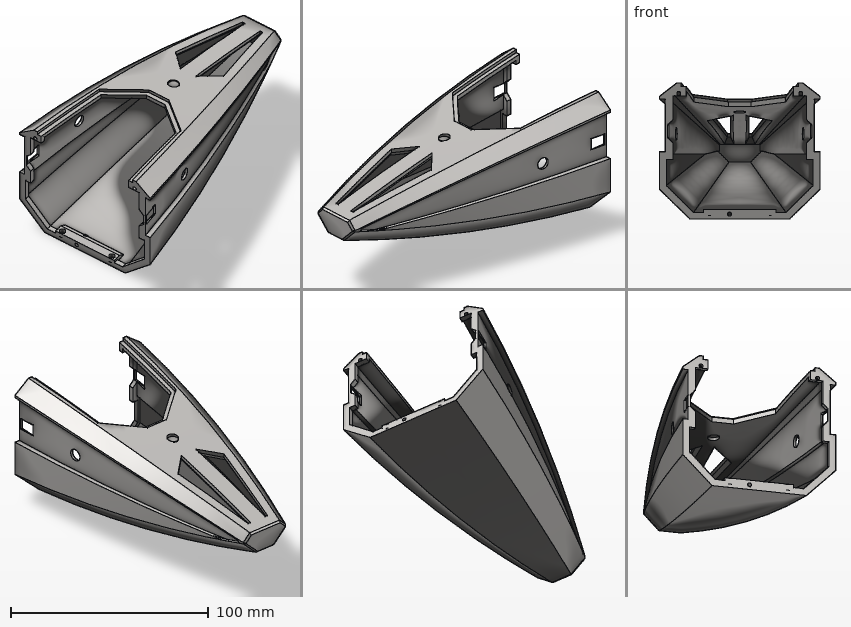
import cadquery as cq


length = 152.0
shoulder_y = 149.5
bow = 0.49

front_side, tip_side = 40.6, 14.1
front_height, tip_top = 69.0, 42.3
tip_bottom = 28.1
front_bottom_half, tip_bottom_half = 25.1, 5.8
front_corner_z, tip_corner_z = 15.0, 36.5
front_eave_z, tip_eave_z = 62.2, 37.8
front_top_half, tip_top_half = 31.8, 9.9

tip_bevels = ((1.4, 0.5), (length - shoulder_y, 1.4))

recess_depth, tip_recess_depth = 2.9, 1.8
eave_lip = 1.4
tip_eave_lip = 0.6
ledge_z = 34.2
recess_end = 147.7

rim_depth = 2.7
cavity_end = 148.2
step_z, tip_step_z = 33.0, 34.8
step_bend_y = 120.1
rim_step_z = 30.1
rim_top_z = 62.3
rim_wall_half = 33.7
roof_thickness = 4.1

rebate_depth = 1.8
rebate_outline = ((6.2, 64.1), (25.4, 47.9), (29.6, 0))
opening_outline = ((5.8, 61.4), (23.3, 46.5), (27.2, 0))

window = ((4.7, 89.7), (14.9, 99.5), (6.2, 145.5), (4.7, 145.5))
window_flare = 1.8
window_lip = 1.8
flare_depth = 4.9

top_hole_d, top_hole_y = 6.0, 76.9
spot_face_z, roof_pocket_z = 57.5, 55.3
side_hole_d, side_hole_y, side_hole_z = 6.4, 39.8, 43.2
pin_hole_d, pin_hole_x, pin_hole_y, pin_hole_depth = 3.2, 15.4, 2.0, 3.0
small_hole_d = 2.0
lip_hole_x, lip_hole_z = 30.9, 63.5
wire_hole_x, wire_hole_z, wire_hole_depth = -5.2, 2.6, 8.7

latch_y0, latch_y1 = 0.9, 9.7
latch_z0, latch_z1 = 41.3, 47.5
latch_skin_half = 36.5
latch_bevel = latch_skin_half - rim_wall_half

bar_half, bar_depth, bar_top = 18.2, 4.5, 5.0
wedge_end, wedge_low_z, bar_base_z = 8.2, 2.7, 1.2

clear = 7.6


def taper(front, back, y, end=shoulder_y):
    """Bowed transition from the front value to the value at y = end."""
    u = y / end
    return front + (back - front) * ((1 - bow) * u + bow * u * u)


def top_z(y):
    return taper(front_height, tip_top, y)


def side_half(y):
    return taper(front_side, tip_side, y)


def mirrored(half):
    """Close a right-hand half outline with its mirror image."""
    return list(half) + [(-x, z) for x, z in reversed(half)]


def section(points, y):
    return cq.Wire.makePolygon([cq.Vector(x, y, z) for x, z in points], close=True)


def bowed_loft(outline, start, end):
    """Smooth loft of outline(y) through three stations."""
    stations = (start, (start + end) / 2, end)
    return cq.Workplane(cq.Solid.makeLoft([section(outline(y), y) for y in stations], False))


def tapered_outline(front, back, end):
    def outline(y):
        half = [
            (taper(x0, x1, y, end), taper(z0, z1, y, end))
            for (x0, z0), (x1, z1) in zip(front, back)
        ]
        return mirrored(half)
    return outline


def block(x0, x1, y0, y1, z0, z1):
    return cq.Workplane(cq.Solid.makeBox(x1 - x0, y1 - y0, z1 - z0, cq.Vector(x0, y0, z0)))


def rod(diameter, height, start, direction):
    return cq.Workplane(
        cq.Solid.makeCylinder(diameter / 2, height, cq.Vector(*start), cq.Vector(*direction))
    )


def both_sides(tool):
    return tool.union(tool.mirror("YZ"))


def outer_body():
    front = (
        (front_bottom_half, 0),
        (front_side, front_corner_z),
        (front_side, front_eave_z),
        (front_top_half, front_height),
    )
    back = (
        (tip_bottom_half, tip_bottom),
        (tip_side, tip_corner_z),
        (tip_side, tip_eave_z),
        (tip_top_half, tip_top),
    )
    body = bowed_loft(tapered_outline(front, back, shoulder_y), 0, shoulder_y)

    shoulder = section(mirrored(back), shoulder_y)
    rings = [shoulder]
    for distance, inset in tip_bevels:
        ring = shoulder.offset2D(-inset, "intersection")[0]
        rings.append(ring.translate(cq.Vector(0, distance, 0)))
    return body.union(cq.Workplane(cq.Solid.makeLoft(rings, True)))


def side_recess():
    def outline(y):
        depth = recess_depth + (tip_recess_depth - recess_depth) * y / recess_end
        wall = side_half(y) - depth
        outside = side_half(y) + clear
        ledge = taper(front_corner_z, tip_corner_z, y)
        lip = eave_lip + (tip_eave_lip - eave_lip) * y / recess_end
        eave = taper(front_eave_z, tip_eave_z, y) - lip
        return [(wall, ledge), (outside, ledge), (outside, eave), (wall, eave)]
    above_ledge = block(0, front_side + clear, 0, length, ledge_z, front_height)
    return both_sides(bowed_loft(outline, 0, recess_end).intersect(above_ledge))


def cavity():
    lower_front = ((24.5, 1.8), (38.8, 15.8), (38.8, front_eave_z))
    lower_back = ((5.5, 28.9), (13.0, 36.5), (13.0, tip_eave_z))
    upper_front = ((24.5, 4.1), (36.6, 16.3), (36.6, 61.4), (35.1, front_height - roof_thickness))
    upper_back = ((5.5, 31.2), (10.2, 34.5), (10.2, 37.5), (9.9, 37.8))

    lower = bowed_loft(tapered_outline(lower_front, lower_back, cavity_end), 0, cavity_end)
    upper = bowed_loft(tapered_outline(upper_front, upper_back, cavity_end), 0, cavity_end)
    below_step = (
        cq.Workplane("YZ", origin=(-front_side, 0, 0))
        .polyline([(0, 0), (0, step_z), (step_bend_y, step_z), (length, tip_step_z), (length, 0)])
        .close()
        .extrude(2 * front_side)
    )
    behind_rim = block(-front_side, front_side, rim_depth, length, 0, front_height)
    return lower.intersect(below_step).union(upper).intersect(behind_rim)


def rim_mouth():
    half = (
        (23.4, 3.5),
        (37.0, 16.9),
        (37.0, rim_step_z),
        (rim_wall_half, rim_step_z),
        (rim_wall_half, rim_top_z),
    )
    return cq.Workplane(
        cq.Solid.extrudeLinear(section(mirrored(half), 0), [], cq.Vector(0, rim_depth, 0))
    )


def plan_prism(half, z0):
    return (
        cq.Workplane("XY", origin=(0, 0, z0))
        .polyline(mirrored(half))
        .close()
        .extrude(front_height + clear - z0)
    )


def rebate():
    middle = shoulder_y / 2
    above_floor = (
        cq.Workplane("YZ", origin=(-front_side, 0, 0))
        .moveTo(0, top_z(0) - rebate_depth)
        .threePointArc(
            (middle, top_z(middle) - rebate_depth),
            (shoulder_y, top_z(shoulder_y) - rebate_depth),
        )
        .lineTo(shoulder_y, front_height + clear)
        .lineTo(0, front_height + clear)
        .close()
        .extrude(2 * front_side)
    )
    return plan_prism(rebate_outline, tip_bottom).intersect(above_floor)


def windows():
    outline = cq.Wire.makePolygon([cq.Vector(x, y, 0) for x, y in window], close=True)
    flared = outline.offset2D(window_flare, "intersection")[0]

    def on_roof(wire, drop):
        points = [v.toTuple() for v in wire.Vertices()]
        near, far = window[0][1], window[-1][1]
        slope = (top_z(far) - top_z(near)) / (far - near)
        return cq.Wire.makePolygon(
            [cq.Vector(x, y, top_z(near) + slope * (y - near) - drop) for x, y, _ in points],
            close=True,
        )

    shaft = cq.Solid.extrudeLinear(outline, [], cq.Vector(0, 0, front_height))
    shaft = shaft.translate(cq.Vector(0, 0, tip_top - flare_depth))
    flare = cq.Solid.makeLoft(
        [on_roof(outline, window_lip), on_roof(flared, flare_depth)], True
    )
    return both_sides(cq.Workplane(shaft).union(cq.Workplane(flare)))


def latches():
    slot = block(rim_wall_half, front_side, latch_y0, latch_y1, latch_z0, latch_z1)
    pocket_outline = [
        (rim_wall_half, latch_z0 - latch_bevel),
        (latch_skin_half, latch_z0),
        (latch_skin_half, latch_z1),
        (rim_wall_half, latch_z1 + latch_bevel),
    ]
    pocket = cq.Solid.extrudeLinear(section(pocket_outline, 0), [], cq.Vector(0, latch_y1, 0))
    return both_sides(slot.union(cq.Workplane(pocket)))


def floor_bar():
    return (
        cq.Workplane("YZ", origin=(-bar_half, 0, 0))
        .polyline([
            (0, bar_base_z),
            (0, bar_top),
            (bar_depth, bar_top),
            (wedge_end, wedge_low_z),
            (wedge_end, bar_base_z),
        ])
        .close()
        .extrude(2 * bar_half)
    )


def holes():
    along_x, along_y, along_z = (1, 0, 0), (0, 1, 0), (0, 0, 1)
    tools = rod(top_hole_d, front_height - spot_face_z, (0, top_hole_y, spot_face_z), along_z)
    pocket_start = (0, top_hole_y, front_height / 2)
    tools = tools.union(rod(top_hole_d, roof_pocket_z - front_height / 2, pocket_start, along_z))
    side_start = (-front_side, side_hole_y, side_hole_z)
    tools = tools.union(rod(side_hole_d, 2 * front_side, side_start, along_x))
    for side in (-1, 1):
        pin_start = (side * pin_hole_x, pin_hole_y, bar_top - pin_hole_depth)
        tools = tools.union(rod(pin_hole_d, pin_hole_depth, pin_start, along_z))
        lip_start = (side * lip_hole_x, 0, lip_hole_z)
        tools = tools.union(rod(small_hole_d, rim_depth, lip_start, along_y))
    wire_start = (wire_hole_x, 0, wire_hole_z)
    return tools.union(rod(small_hole_d, wire_hole_depth, wire_start, along_y))


result = (
    outer_body()
    .cut(side_recess())
    .cut(cavity())
    .cut(rim_mouth())
    .cut(plan_prism(opening_outline, front_height / 2))
    .cut(rebate())
    .cut(windows())
    .cut(latches())
    .union(floor_bar())
    .cut(holes())
)